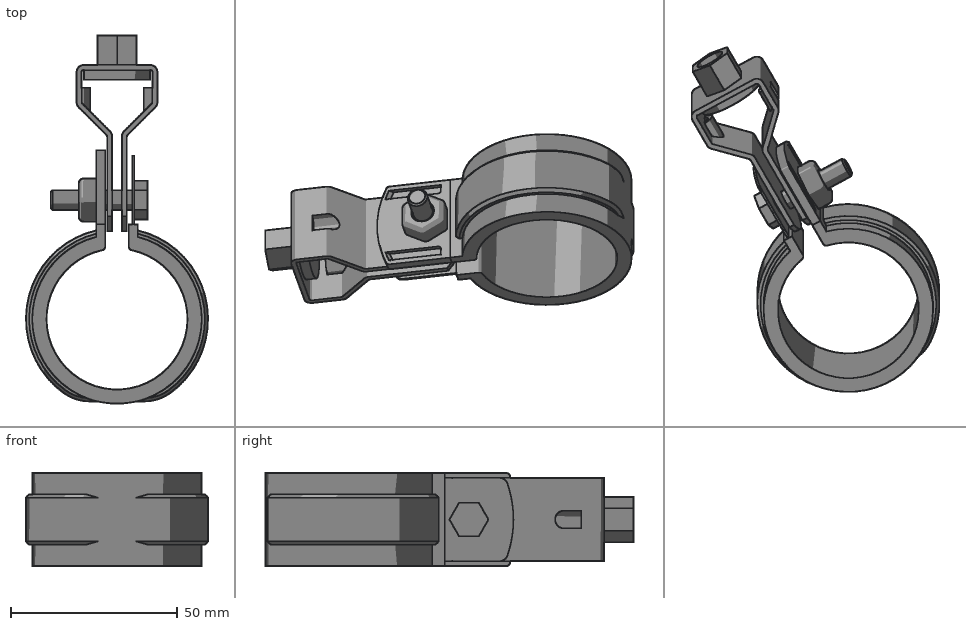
import cadquery as cq
import math


ring_radius = 25.5
ring_bore_radius = 21.2
ring_height = 28.0
lug_gap = 7.0
lug_thickness = 2.8
lug_inner_x = lug_gap / 2
lug_outer_x = lug_inner_x + lug_thickness
lug_top_y = 28.5
lug_root_radius = 1.1
band_diameter = 54.9
band_radius = band_diameter / 2
band_height = 15.2
band_chamfer = 1.0
band_flat_y = -24.8
band_blend_radius = 13.5

sheet = 1.5
bend_inside_radius = 0.7
bend_outside_radius = bend_inside_radius + sheet
bracket_height = 25.0
box_half_width = 12.2
box_top_y = 76.5
shoulder_y = 64.4
neck_half_width = 3.0
neck_y = 55.2
arm_end_y = 26.4
arm_end_radius = 19.5

channel_radius = 2.7
channel_start_y = 69.6

hanger_across_flats = 11.9
hanger_end_y = 85.4
hanger_bore = 8.5
hanger_neck = 10.5
hanger_disc = 20
hanger_disc_thickness = 3.0

bolt_y = 35.8
bolt_diameter = 6.0
bolt_tip_x = -20
bolt_tip_chamfer = 0.5
bolt_head_thickness = 4.0
bolt_head_across_corners = 11.8
nut_across_flats = 13.1
nut_thickness = 5.3
nut_rounding = 1.7
nut_countersink = 7.0

thick_plate_top_y = 50.9
thick_plate_end_radius = 33.3
thick_plate_corner_radius = 1.1
pocket_depth = 1.2
pocket_ramp = 1.1
pocket_rim = 1.1
pocket_bottom_y = 31.3
pocket_inner_z = 9.5
pocket_outer_z = bracket_height / 2
pocket_corner_radius = 1.0

thin_plate_thickness = 0.7
thin_plate_x = lug_inner_x + (lug_thickness - thin_plate_thickness) / 2
thin_plate_top_y = 49.2
thin_plate_height = bracket_height
thin_plate_end_radius = 33.3
thin_plate_corner_radius = 2.5

bolt_head_x = thin_plate_x + thin_plate_thickness

everywhere = 110.8


def box_between(x0, x1, y0, y1, z0, z1):
    return cq.Workplane("XY").box(x1 - x0, y1 - y0, z1 - z0, centered=False).translate((x0, y0, z0))


def edges_in_y_range(body, direction, y0, y1):
    """Edges along a direction whose centres lie between two Y values."""
    zone = cq.selectors.BoxSelector((-everywhere, y0, -everywhere), (everywhere, y1, everywhere))
    return body.edges(direction).edges(zone)


def disc_z(radius, height):
    return cq.Workplane("XY").circle(radius).extrude(height / 2, both=True)


def rod_x(diameter, x0, x1):
    """Round bar on the bolt axis."""
    return cq.Workplane("YZ", origin=(x0, bolt_y, 0)).circle(diameter / 2).extrude(x1 - x0)


def rod_y(diameter, y0, y1):
    """Round bar on the Y axis."""
    return cq.Workplane("XZ", origin=(0, y0, 0)).circle(diameter / 2).extrude(y0 - y1)


def make_bands():
    """Both side bands, still joined across the lug gap: a disc with a blended flat on its -Y side."""
    blend_y = band_flat_y + band_blend_radius
    blend_x = math.sqrt((band_radius - band_blend_radius) ** 2 - blend_y**2)
    stretch = band_radius / (band_radius - band_blend_radius)
    tangent_x = blend_x * stretch
    tangent_y = blend_y * stretch
    middle_angle = (math.atan2(-blend_y, blend_x) + math.pi / 2) / 2
    middle_x = blend_x + band_blend_radius * math.cos(middle_angle)
    middle_y = blend_y - band_blend_radius * math.sin(middle_angle)
    return (
        cq.Workplane("XY")
        .moveTo(-blend_x, band_flat_y)
        .lineTo(blend_x, band_flat_y)
        .threePointArc((middle_x, middle_y), (tangent_x, tangent_y))
        .threePointArc((0, band_radius), (-tangent_x, tangent_y))
        .threePointArc((-middle_x, middle_y), (-blend_x, band_flat_y))
        .close()
        .extrude(band_height / 2, both=True)
        .faces("|Z")
        .edges()
        .chamfer(band_chamfer)
    )


def make_ring():
    half_height = ring_height / 2
    band_gap = box_between(-lug_outer_x, lug_outer_x, 0, band_radius, -half_height, half_height)
    lugs = box_between(-lug_outer_x, lug_outer_x, ring_bore_radius, lug_top_y, -half_height, half_height)
    gap = box_between(-lug_inner_x, lug_inner_x, 0, lug_top_y, -half_height, half_height)
    ring = disc_z(ring_radius, ring_height).union(make_bands().cut(band_gap)).union(lugs)
    ring = ring.cut(disc_z(ring_bore_radius, ring_height)).cut(gap)
    return edges_in_y_range(ring, "|Z", 0, ring_bore_radius).fillet(lug_root_radius)


def bracket_fill(inset, box_bend_radius, neck_bend_radius):
    """Filled bracket outline, moved inwards by the inset."""
    slope_angle = math.atan2(box_half_width - neck_half_width, shoulder_y - neck_y)
    bend_shift = inset * math.tan(slope_angle / 2)
    box_x = box_half_width - inset
    neck_x = neck_half_width - inset
    right_side = [
        (neck_x, arm_end_y),
        (neck_x, neck_y + bend_shift),
        (box_x, shoulder_y + bend_shift),
        (box_x, box_top_y - inset),
    ]
    left_side = [(-x, y) for x, y in reversed(right_side)]
    outline = cq.Workplane("XY").polyline(right_side + left_side).close()
    fill = outline.extrude(bracket_height / 2, both=True)
    slope_middle_y = (shoulder_y + neck_y) / 2
    fill = edges_in_y_range(fill, "|Z", slope_middle_y, everywhere).fillet(box_bend_radius)
    return edges_in_y_range(fill, "|Z", bolt_y, slope_middle_y).fillet(neck_bend_radius)


def side_bars(radius):
    """Round bars along both outer sides of the bracket, from the channel start to the neck."""
    return (
        cq.Workplane("XZ", origin=(0, channel_start_y, 0))
        .pushPoints([(-box_half_width, 0), (box_half_width, 0)])
        .circle(radius)
        .extrude(channel_start_y - neck_y)
    )


def make_bracket():
    outside = bracket_fill(0, bend_outside_radius, bend_inside_radius)
    inside = bracket_fill(sheet, bend_inside_radius, bend_outside_radius)
    bracket = outside.cut(inside)
    bracket = bracket.union(side_bars(channel_radius + sheet).intersect(outside))
    bracket = bracket.cut(side_bars(channel_radius))
    round_end = (
        cq.Workplane("YZ", origin=(-box_half_width, arm_end_y + arm_end_radius, 0))
        .circle(arm_end_radius)
        .extrude(2 * box_half_width)
    )
    beyond = box_between(
        -box_half_width,
        box_half_width,
        arm_end_y + arm_end_radius,
        box_top_y,
        -bracket_height / 2,
        bracket_height / 2,
    )
    bracket = bracket.intersect(round_end.union(beyond))
    bracket = bracket.cut(rod_x(bolt_diameter, -box_half_width, box_half_width))
    return bracket.cut(rod_y(hanger_neck, box_top_y - sheet, box_top_y))


def hexagon_corner_diameter(across_flats):
    return across_flats / math.cos(math.radians(30))


def make_hanger_nut():
    """Hexagon outside the bracket and disc inside it, joined by a neck through the bracket."""
    disc_top_y = box_top_y - sheet
    disc_bottom_y = disc_top_y - hanger_disc_thickness
    hexagon = (
        cq.Workplane(cq.Plane((0, hanger_end_y, 0), xDir=(0, 0, 1), normal=(0, -1, 0)))
        .polygon(6, hexagon_corner_diameter(hanger_across_flats))
        .extrude(hanger_end_y - box_top_y)
    )
    nut = hexagon.union(rod_y(hanger_neck, disc_bottom_y, box_top_y))
    nut = nut.union(rod_y(hanger_disc, disc_bottom_y, disc_top_y))
    return nut.cut(rod_y(hanger_bore, disc_bottom_y, hanger_end_y))


def make_bolt():
    head = (
        cq.Workplane("YZ", origin=(bolt_head_x, bolt_y, 0))
        .polygon(6, bolt_head_across_corners)
        .extrude(bolt_head_thickness)
    )
    shank = rod_x(bolt_diameter, bolt_tip_x, bolt_head_x).faces("<X").chamfer(bolt_tip_chamfer)
    return head.union(shank)


def make_nut():
    nut = (
        cq.Workplane(cq.Plane((-lug_outer_x, bolt_y, 0), xDir=(0, 0, 1), normal=(-1, 0, 0)))
        .polygon(6, hexagon_corner_diameter(nut_across_flats))
        .extrude(nut_thickness)
        .edges("|X")
        .fillet(nut_rounding)
        .faces("<X")
        .edges()
        .fillet(nut_rounding)
    )
    nut = nut.cut(rod_x(bolt_diameter, -lug_outer_x - nut_thickness, -lug_outer_x))
    countersink = (nut_countersink - bolt_diameter) / 2
    return nut.faces("<X").edges("%CIRCLE").chamfer(countersink)


def round_ended_plate(x, thickness, height, top_y, end_radius, corner_radius):
    """Plate standing on a lug, with an arc for its upper end and rounded upper corners."""
    half_height = height / 2
    arc_drop = end_radius - math.sqrt(end_radius**2 - half_height**2)
    shoulder = top_y - arc_drop
    plate = (
        cq.Workplane("YZ", origin=(x, 0, 0))
        .moveTo(lug_top_y, -half_height)
        .lineTo(shoulder, -half_height)
        .threePointArc((top_y, 0), (shoulder, half_height))
        .lineTo(lug_top_y, half_height)
        .close()
        .extrude(thickness)
    )
    plate = edges_in_y_range(plate, "|X", bolt_y, top_y).fillet(corner_radius)
    return plate.cut(rod_x(bolt_diameter, x, x + thickness))


def make_pockets():
    """Two shallow pockets whose upper ends ramp up along the rounded end of the plate."""
    rim_radius = thick_plate_end_radius - pocket_rim
    pocket = box_between(
        -lug_outer_x,
        -lug_outer_x + pocket_depth,
        pocket_bottom_y,
        thick_plate_top_y,
        pocket_inner_z,
        pocket_outer_z,
    )
    pocket = pocket.edges("|X and <Y and <Z").fillet(pocket_corner_radius)
    ramp = (
        cq.Workplane("YZ", origin=(-lug_outer_x, thick_plate_top_y - thick_plate_end_radius, 0))
        .circle(rim_radius)
        .workplane(offset=pocket_depth)
        .circle(rim_radius - pocket_ramp)
        .loft()
    )
    return pocket.union(pocket.mirror("XY")).intersect(ramp)


def make_thick_plate():
    plate = round_ended_plate(
        -lug_outer_x,
        lug_thickness,
        ring_height,
        thick_plate_top_y,
        thick_plate_end_radius,
        thick_plate_corner_radius,
    )
    return plate.cut(make_pockets())


def make_thin_plate():
    return round_ended_plate(
        thin_plate_x,
        thin_plate_thickness,
        thin_plate_height,
        thin_plate_top_y,
        thin_plate_end_radius,
        thin_plate_corner_radius,
    )


ring = make_ring()
bracket = make_bracket()
hanger_nut = make_hanger_nut()
bolt = make_bolt()
nut = make_nut()
thick_plate = make_thick_plate()
thin_plate = make_thin_plate()

bodies = [ring, bracket, hanger_nut, bolt, nut, thick_plate, thin_plate]
result = cq.Compound.makeCompound([body.solids().val() for body in bodies])